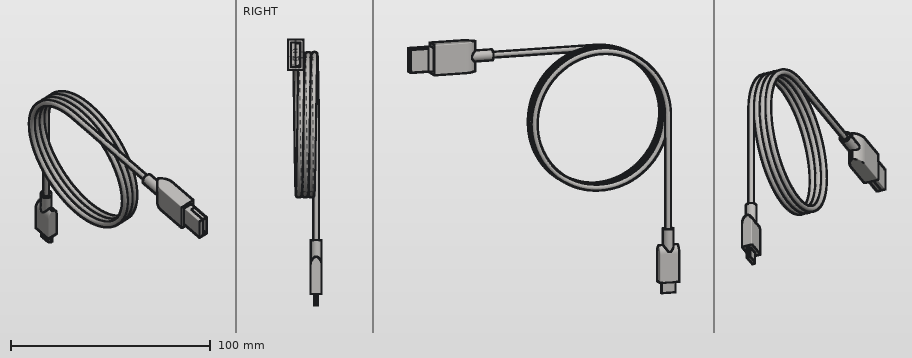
import cadquery as cq


cable_dia = 3.0
coil_radius = 35.0
coil_turns = 3.25
coil_depth = 10.2
coil_pitch = coil_depth / coil_turns

large_relief_dia = 5.7
large_relief_start = 54.8
large_body_start = 63.5
large_body_end = 86.3
large_plug_end = 98.2
large_body_width = 15.5
large_body_thick = 7.9
large_taper = 6.9
large_plug_width = 12.0
large_plug_thick = 4.8
large_plug_fillet = 0.3

mouth_depth = 9.1
mouth_wall = 0.3
mouth_height = large_plug_thick / 2 - mouth_wall

small_relief_dia = 5.5
small_relief_start = 57.8
small_body_start = 66.0
small_body_end = 84.8
small_plug_end = 90.5
small_body_width = 10.2
small_body_thick = 5.7
small_taper = 4.3
small_plug_width = 7.3
small_plug_thick = 2.0
small_plug_chamfer_side = 1.0
small_plug_chamfer_face = 0.8

body_edge_fillet = 0.4
body_tip_flat = 0.5


def coil():
    """Sweep the round cable along a left-handed helix from the top to the left side."""
    helix = cq.Wire.makeHelix(coil_pitch, coil_depth, coil_radius, lefthand=True)
    turns = (
        cq.Workplane("XZ")
        .center(coil_radius, 0)
        .circle(cable_dia / 2)
        .sweep(cq.Workplane(helix), isFrenet=True)
    )
    along_y = turns.rotate((0, 0, 0), (1, 0, 0), -90)
    return along_y.rotate((0, 0, 0), (0, 1, 0), -90)


def rod(diameter, start, end):
    """Round bar along +X between two distances from the origin."""
    return cq.Workplane("YZ").workplane(offset=start).circle(diameter / 2).extrude(end - start)


def block(start, end, thick, width):
    """Rectangular bar along +X, with its thickness in Y and its width in Z."""
    return cq.Workplane("YZ").workplane(offset=start).rect(thick, width).extrude(end - start)


def connector_body(start, end, thick, width, taper):
    """Flat body along +X whose rear narrows in two arcs tangent to its flanks."""
    half_thick = thick / 2
    half_body = (
        cq.Workplane("XY")
        .moveTo(start, 0)
        .lineTo(end, 0)
        .lineTo(end, half_thick)
        .lineTo(start + taper, half_thick)
        .tangentArcPoint((start, body_tip_flat / 2), relative=False)
        .close()
        .extrude(width / 2, both=True)
    )
    body = half_body.union(half_body.mirror("XZ")).clean()
    return body.faces("|Z").edges("not >X").fillet(body_edge_fillet)


def large_connector():
    plug = (
        block(large_body_end, large_plug_end, large_plug_thick, large_plug_width)
        .edges("|X")
        .fillet(large_plug_fillet)
    )
    mouth = block(
        large_plug_end - mouth_depth,
        large_plug_end,
        mouth_height,
        large_plug_width - 2 * mouth_wall,
    ).translate((0, mouth_height / 2, 0))
    body = connector_body(
        large_body_start, large_body_end, large_body_thick, large_body_width, large_taper
    )
    relief = rod(large_relief_dia, large_relief_start, large_body_start + large_taper)
    return body.union(relief).union(plug.cut(mouth))


def small_connector():
    half_thick = small_plug_thick / 2
    half_width = small_plug_width / 2
    front_half_width = half_width - small_plug_chamfer_side
    chamfer_y = small_plug_chamfer_face - half_thick
    plug = (
        cq.Workplane("YZ")
        .workplane(offset=small_body_end)
        .polyline(
            [
                (half_thick, -half_width),
                (half_thick, half_width),
                (chamfer_y, half_width),
                (-half_thick, front_half_width),
                (-half_thick, -front_half_width),
                (chamfer_y, -half_width),
            ]
        )
        .close()
        .extrude(small_plug_end - small_body_end)
    )
    body = connector_body(
        small_body_start, small_body_end, small_body_thick, small_body_width, small_taper
    )
    relief = rod(small_relief_dia, small_relief_start, small_body_start + small_taper)
    return body.union(relief).union(plug)


large_end = rod(cable_dia, 0, large_relief_start).union(large_connector())
large_end = large_end.translate((0, 0, coil_radius))

small_end = rod(cable_dia, 0, small_relief_start).union(small_connector())
small_end = small_end.rotate((0, 0, 0), (0, 1, 0), 90).translate((-coil_radius, coil_depth, 0))

result = coil().union(large_end).union(small_end)